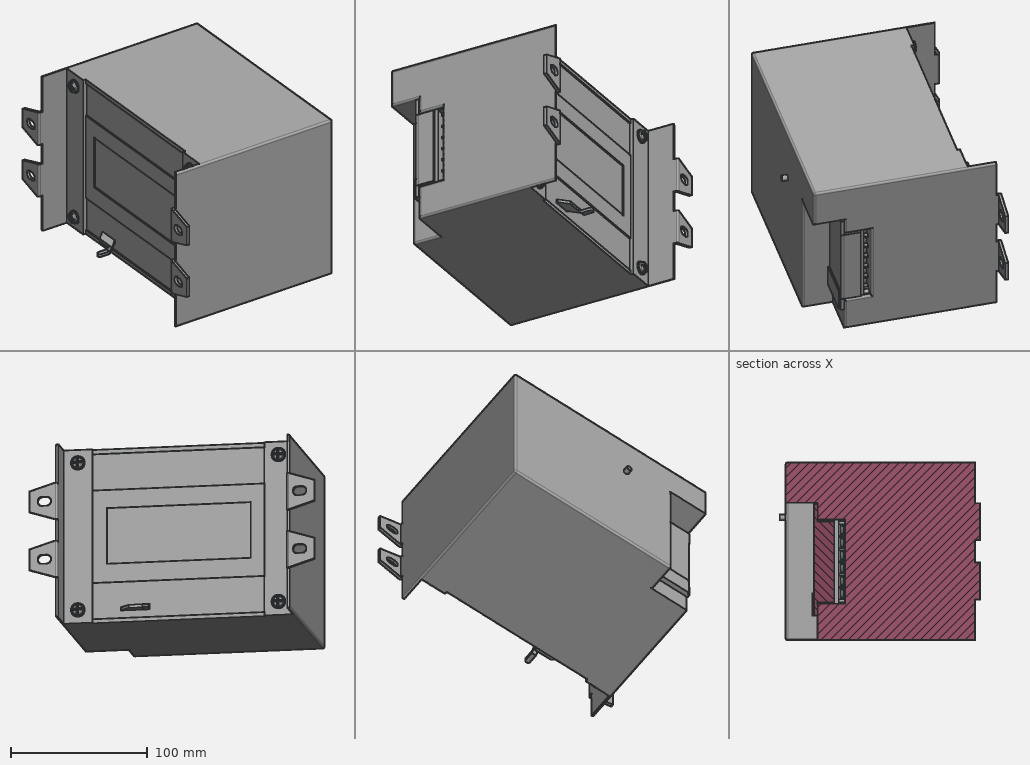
import cadquery as cq

half_width = 87.1
height = 130.0
half_height = height / 2
fin_front = -138.6
wall = 2.0
edge_radius = 1.6

strip_front = -117.2
panel_front = -115.1
panel_half_width = 64.0
band_depth = 1.0
band_top = 61.7
band_bottom = -62.0
middle_top = 34.5
middle_bottom = -34.8
display_half_width = 53.5
display_top = 21.0
display_bottom = -20.8

recess_depth = 31.8
recess_front = -23.3
recess_top = 35.5
pocket_front = -43.5
pocket_top = 23.1
pocket_bottom = -38.2

ear_front = -142.5
ear_tip_x = 106.0
ear_thickness = 2.3
ear_bend_radius = 1.5
ear_spacing = 43.5
ear_root_height = 27.1
ear_tip_height = 15.5
slot_length = 10.0
slot_height = 6.8
slot_x = 95.0

screw_x = 74.6
screw_z = 55.1
washer_diameter = 10.2
washer_thickness = 0.8
head_diameter = 8.3
head_height = 3.5
head_radius = 1.0
cross_length = 7.2
cross_width = 1.3
cross_depth = 1.0

lever_root_x = -43.0
lever_root_width = 16.0
lever_reach = 6.8
lever_top = -53.8
lever_thickness = 2.3
finger_right = -20.1
finger_width = 3.8
finger_length = 11.2
finger_drop = 2.3
finger_tip_radius = finger_width * 0.4

peg_x = -13.8
peg_z = 24.8
peg_diameter = 4.5
peg_length = 4.2

flange_back = -20.8
flange_top = 34.5
flange_bottom = -47.0
cover_front = -35.8
cover_top = 21.8
cover_bottom = -37.3
cover_proud = 2.1
cover_bevel_width = 2.1
cover_bevel_depth = 0.5
tab_back = -19.5
tab_top = -30.7
tab_inset = 1.7
cell_count = 6
cell_pitch = 9.3
cell_size = 8.0
trough_back = -38.8
trough_depth = 5.0
cell_depth = 5.0
terminal_diameter = 6.4
terminal_back = -40.3
terminal_thickness = 2.0
terminal_inset = 0.5


def box(x0, x1, y0, y1, z0, z1):
    """Box between two X, two Y and two Z positions."""
    return cq.Workplane("XY").box(x1 - x0, y1 - y0, z1 - z0, centered=False).translate((x0, y0, z0))


def front_cylinder(diameter, length, x, y, z):
    """Cylinder along Y that runs from y toward the front."""
    return cq.Workplane("XZ", origin=(x, y, z)).circle(diameter / 2).extrude(length)


def enclosure():
    """Box with side fins and the corner recess, rounded on its outer edges."""
    inner = half_width - wall
    floor_x = recess_depth - half_width
    body = box(-half_width, half_width, fin_front, 0, -half_height, half_height)
    body = body.cut(box(-inner, inner, fin_front, strip_front, -half_height, half_height))
    body = body.cut(box(-half_width, floor_x, recess_front, 0, -half_height, recess_top))
    body = body.cut(box(-half_width, floor_x, pocket_front, recess_front, pocket_bottom, pocket_top))

    side_edges = body.faces("<X or >X").edges().filter(lambda e: e.Center().y > fin_front + wall)
    back_edges = body.faces(">Y").edges("|X").filter(lambda e: abs(e.Center().z) > half_height - wall)
    floor_edges = body.edges().filter(
        lambda e: abs(e.Center().x - floor_x) < wall / 2
        and (e.Center().y > -wall / 2 or e.Center().z < wall / 2 - half_height)
    )
    return body.newObject(side_edges.vals() + back_edges.vals() + floor_edges.vals()).fillet(edge_radius)


def cut_front_panel(body):
    """Set the panel back between the strips, then cut its two bands and the display field."""
    width = panel_half_width
    body = body.cut(box(-width, width, strip_front, panel_front, -half_height, half_height))
    band_back = panel_front + band_depth
    body = body.cut(box(-width, width, panel_front, band_back, middle_top, band_top))
    body = body.cut(box(-width, width, panel_front, band_back, band_bottom, middle_bottom))
    display = display_half_width
    return body.cut(box(-display, display, panel_front, band_back, display_bottom, display_top))


def ear(z):
    """Slotted ear bent outward from the front edge of the right fin."""
    inside = half_width - wall
    bend_x = inside + ear_bend_radius
    bend_y = ear_front + ear_bend_radius
    root = ear_root_height / 2
    tip = ear_tip_height / 2
    strip = (
        cq.Workplane("XY", origin=(0, 0, -root))
        .moveTo(inside, fin_front)
        .lineTo(inside, bend_y)
        .radiusArc((bend_x, ear_front), -ear_bend_radius)
        .lineTo(ear_tip_x, ear_front)
        .lineTo(ear_tip_x, ear_front + ear_thickness)
        .lineTo(half_width, ear_front + ear_thickness)
        .lineTo(half_width, fin_front)
        .close()
        .extrude(ear_root_height)
    )
    outline = (
        cq.Workplane("XZ", origin=(0, fin_front, 0))
        .polyline([(inside, -root), (half_width, -root), (ear_tip_x, -tip),
                   (ear_tip_x, tip), (half_width, root), (inside, root)])
        .close()
        .extrude(fin_front - ear_front)
    )
    slot = (
        cq.Workplane("XZ", origin=(0, fin_front, 0))
        .center(slot_x, 0)
        .slot2D(slot_length, slot_height)
        .extrude(fin_front - ear_front)
    )
    return strip.intersect(outline).cut(slot).translate((0, 0, z))


def screw(x, z):
    """Screw head with washer and cross recess."""
    washer = front_cylinder(washer_diameter, washer_thickness, x, strip_front, z)
    head = front_cylinder(head_diameter, head_height, x, strip_front, z).faces("<Y").edges().fillet(head_radius)
    cross_floor = cq.Workplane("XZ", origin=(x, strip_front - head_height + cross_depth, z))
    wide_arm = cross_floor.rect(cross_length, cross_width).extrude(cross_depth)
    tall_arm = cross_floor.rect(cross_width, cross_length).extrude(cross_depth)
    return washer.union(head).cut(wide_arm).cut(tall_arm)


def lever():
    """Slanted plate out of the panel, ending in a finger that steps down."""
    root_y = panel_front + band_depth
    end_y = panel_front - lever_reach
    end_left = finger_right - lever_root_width
    root_right = lever_root_x + lever_root_width
    plate = (
        cq.Workplane("XY", origin=(0, 0, lever_top - lever_thickness))
        .polyline([
            (lever_root_x, root_y), (lever_root_x, panel_front), (end_left, end_y),
            (finger_right, end_y), (root_right, panel_front), (root_right, root_y),
        ])
        .close()
        .extrude(lever_thickness)
    )
    step_y = end_y - finger_drop
    tip_y = end_y - finger_length
    low = lever_top - finger_drop
    finger = (
        cq.Workplane("YZ", origin=(finger_right - finger_width, 0, 0))
        .polyline([
            (end_y, lever_top), (step_y, low), (tip_y, low),
            (tip_y, low - lever_thickness), (step_y, low - lever_thickness),
            (end_y, lever_top - lever_thickness),
        ])
        .close()
        .extrude(finger_width)
        .faces("<Y").edges("|Z").fillet(finger_tip_radius)
    )
    return plate.union(finger)


def peg():
    """Round peg standing out of the back wall."""
    return front_cylinder(peg_diameter, peg_length, peg_x, peg_length, peg_z)


def make_housing():
    """Enclosure with its ears, screws, lever and peg."""
    body = cut_front_panel(enclosure())
    for z in (-ear_spacing / 2, ear_spacing / 2):
        body = body.union(ear(z)).union(ear(z).mirror("YZ"))
    for x in (-screw_x, screw_x):
        for z in (-screw_z, screw_z):
            body = body.union(screw(x, z))
    return body.union(lever()).union(peg())


def make_terminal_block():
    """Block in the side pocket, with a cover, a flange in the recess and a row of wire cells."""
    outside = -half_width
    floor_x = recess_depth - half_width
    face_x = outside + cover_proud
    block = box(face_x, floor_x, pocket_front, recess_front, pocket_bottom, pocket_top)

    cover = (
        cq.Workplane("XY", origin=(0, 0, cover_bottom))
        .polyline([
            (floor_x, cover_front), (outside, cover_front), (outside, flange_back - cover_bevel_width),
            (outside + cover_bevel_depth, flange_back), (floor_x, flange_back),
        ])
        .close()
        .extrude(cover_top - cover_bottom)
    )
    block = block.union(cover)
    block = block.union(box(outside, floor_x, recess_front, flange_back, cover_top, flange_top))
    block = block.union(box(outside, floor_x, recess_front, flange_back, flange_bottom, cover_bottom))
    block = block.union(box(outside + tab_inset, floor_x, flange_back, tab_back, flange_bottom, tab_top))

    trough_x = face_x + trough_depth
    block = block.cut(box(face_x, trough_x, pocket_front, trough_back, cover_bottom, cover_top))
    middle = (cover_top + cover_bottom) / 2
    for index in range(cell_count):
        z = middle + (index - (cell_count - 1) / 2) * cell_pitch
        low = z - cell_size / 2
        block = block.cut(box(trough_x, trough_x + cell_depth, pocket_front, trough_back, low, low + cell_size))
        terminal_x = trough_x + terminal_inset + terminal_diameter / 2
        block = block.union(front_cylinder(terminal_diameter, terminal_thickness, terminal_x, terminal_back, z))
    return block


housing = make_housing()
terminal_block = make_terminal_block()

result = cq.Compound.makeCompound([housing.val(), terminal_block.val()])